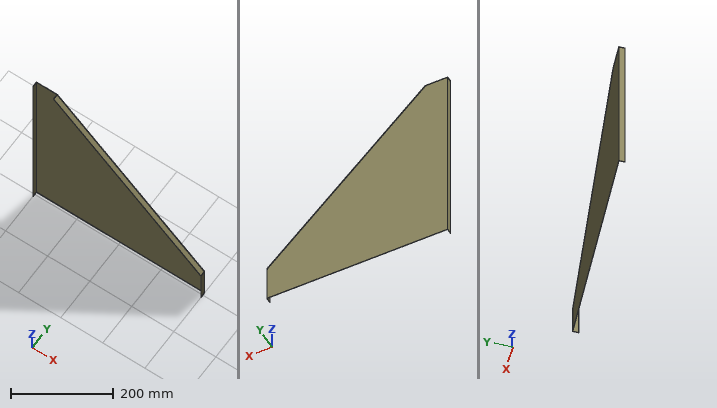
import cadquery as cq

width = 400.0
depth = 12.5
height = 434.5
thickness = 0.6

top_edge = 50.0
right_edge = height - (width - top_edge)

outline = [
    (0, 0),
    (width, 0),
    (width, right_edge),
    (top_edge, height),
    (0, height),
]


def extruded_outline(length):
    """Panel outline in XZ, extruded from the back face (Y = 0) toward -Y."""
    return cq.Workplane("XZ").polyline(outline).close().extrude(length)


def hollow():
    """Space in front of the web, inside the left, sloped and right flanges."""
    diagonal_inset = thickness * 2 ** 0.5
    inner_left = thickness
    inner_right = width - thickness
    slope_sum = top_edge + height - diagonal_inset
    points = [
        (inner_left, 0),
        (inner_right, 0),
        (inner_right, slope_sum - inner_right),
        (slope_sum - height, height),
        (inner_left, height),
    ]
    return (
        cq.Workplane("XZ", origin=(0, -thickness, 0))
        .polyline(points)
        .close()
        .extrude(depth - thickness)
    )


result = extruded_outline(depth).cut(hollow())